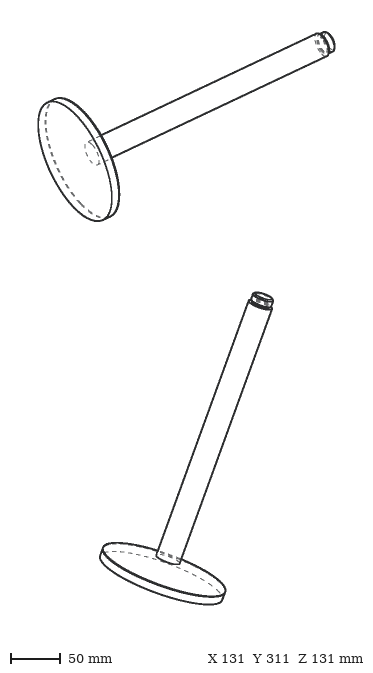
import cadquery as cq

total_length = 311.0
base_diameter = 131.0

pad_thickness = 8.5
foot_rim_thickness = 1.0
foot_cone_height = 11.2

rod_diameter = 25.2
tip_diameter = 21.8
groove_diameter = 18.0
tip_length = 9.5
groove_width = 2.0
tip_chamfer = 1.5

foot_rim_end = pad_thickness + foot_rim_thickness
foot_top = foot_rim_end + foot_cone_height
rod_shoulder = total_length - tip_length


def turned(profile):
    """Turn a closed profile of (radius, Y) points about the Y axis."""
    return cq.Workplane("XY").polyline(profile).close().revolve(360, (0, 0, 0), (0, 1, 0))


def cylinder(diameter, start, end):
    """Round cylinder along Y between two places on the axis."""
    radius = diameter / 2
    return turned([(0, start), (radius, start), (radius, end), (0, end)])


def make_pad():
    """Flat round disc under the foot."""
    return cylinder(base_diameter, 0, pad_thickness)


def make_foot():
    """Cone with a thin straight rim, resting on the pad."""
    base_radius = base_diameter / 2
    return turned([
        (0, pad_thickness),
        (base_radius, pad_thickness),
        (base_radius, foot_rim_end),
        (rod_diameter / 2, foot_top),
        (0, foot_top),
    ])


def make_rod():
    """Rod standing on the foot, with a groove below its chamfered tip."""
    shaft = cylinder(rod_diameter, foot_top, rod_shoulder)
    neck = cylinder(groove_diameter, rod_shoulder, rod_shoulder + groove_width)
    tip = cylinder(tip_diameter, rod_shoulder + groove_width, total_length)
    tip = tip.faces(">Y").chamfer(tip_chamfer)
    return shaft.union(neck).union(tip)


pad = make_pad()
foot = make_foot()
rod = make_rod()

result = cq.Compound.makeCompound([pad.val(), foot.val(), rod.val()])